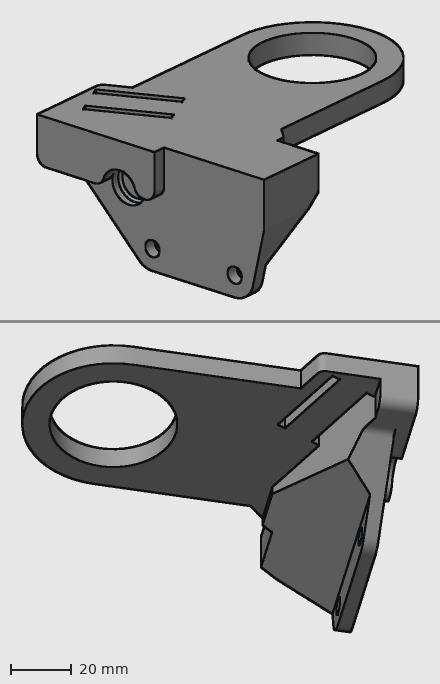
import cadquery as cq
import math

TOTAL_WIDTH = 92.52
TOTAL_LENGTH = 124.0
TOTAL_HEIGHT = 45.5

ARM_THICKNESS = 8.0
RING_RADIUS = 30.0
RING_BORE_DIAMETER = 42.0
RING_X = 40.0
RING_Y = TOTAL_LENGTH - RING_RADIUS
ARM_LEFT = RING_X - RING_RADIUS
ARM_RIGHT = RING_X + RING_RADIUS

SLOT_ANGLE = 25.0
SLOT_SLOPE = math.tan(math.radians(SLOT_ANGLE))
SLOT_LENGTH = 30.0
SLOT_WIDTH = 3.0
SLOT_SPACING = 14.0
REAR_SLOT_X = 16.0
REAR_SLOT_Y = 33.4
FRONT_SLOT_X = REAR_SLOT_X + SLOT_SPACING * math.sin(math.radians(SLOT_ANGLE))
FRONT_SLOT_Y = REAR_SLOT_Y - SLOT_SPACING * math.cos(math.radians(SLOT_ANGLE))

SHOULDER_CORNER_Y = 32.7
SHOULDER_RADIUS = 3.0

WING_REAR = 33.3
BODY_RIGHT = 75.0
BODY_REAR = 36.5
ARM_CORNER_Y = BODY_REAR + (BODY_RIGHT - ARM_RIGHT)

PAD_WIDTH = 50.0
PAD_HEIGHT = 18.0
PAD_DEPTH = 5.0
PAD_RADIUS = 4.0
PAD_REAR = 12.7

FLANGE_REAR = 10.0
FLANGE_CORNER_RADIUS = 8.0
HOLE_DIAMETER = 6.0
LEFT_HOLE_X = 45.0
RIGHT_HOLE_X = 80.0
HOLE_Z = FLANGE_CORNER_RADIUS - TOTAL_HEIGHT
FLANGE_INNER_RADIUS = 4.0
FLANGE_LEFT = LEFT_HOLE_X - FLANGE_CORNER_RADIUS * math.sqrt(2) + HOLE_Z + PAD_HEIGHT

SLOPE_REAR_Z = -11.0
SLOPE_FRONT_Z = -33.0

POCKET_X = 35.0
POCKET_Z = -17.5
POCKET_DIAMETER = 14.0
POCKET_DEPTH = 9.0
POCKET_FLOOR_CHAMFER = 1.0


def front_plane(y):
    """Sketch plane at depth y, drawn in X and Z, extruding towards +Y."""
    return cq.Workplane(cq.Plane(origin=(0, y, 0), xDir=(1, 0, 0), normal=(0, -1, 0)))


def slab(sketch, depth):
    """Extrude a front sketch the given depth towards +Y."""
    return sketch.extrude(-depth)


def slot_edge_x(y):
    """X of the front edge line of the front slot at the given Y."""
    half_width = SLOT_WIDTH / 2
    edge_drop = half_width / math.cos(math.radians(SLOT_ANGLE))
    return FRONT_SLOT_X + (y - FRONT_SLOT_Y + edge_drop) / SLOT_SLOPE


def make_arm():
    """Flat plate covering the whole part except the pad, rounded concentric with the ring bore."""
    outline = [
        (0, PAD_DEPTH),
        (TOTAL_WIDTH, PAD_DEPTH),
        (TOTAL_WIDTH, WING_REAR),
        (BODY_RIGHT, WING_REAR),
        (BODY_RIGHT, BODY_REAR),
        (ARM_RIGHT, ARM_CORNER_Y),
        (ARM_RIGHT, RING_Y),
    ]
    arm = (
        cq.Workplane("XY")
        .polyline(outline)
        .threePointArc((RING_X, TOTAL_LENGTH), (ARM_LEFT, RING_Y))
        .lineTo(ARM_LEFT, SHOULDER_CORNER_Y + ARM_LEFT * SLOT_SLOPE)
        .lineTo(0, SHOULDER_CORNER_Y)
        .close()
        .extrude(-ARM_THICKNESS)
    )
    shoulder = cq.selectors.NearestToPointSelector((0, SHOULDER_CORNER_Y, -ARM_THICKNESS / 2))
    return arm.edges("|Z").edges(shoulder).fillet(SHOULDER_RADIUS)


def make_pad():
    """Front pad with the edges where the pocket breaks out of its underside rounded."""
    pad = slab(front_plane(0).rect(PAD_WIDTH, -PAD_HEIGHT, centered=False), PAD_DEPTH)
    pad = pad.faces("<Z").edges("|Y").fillet(PAD_RADIUS)
    groove = slab(front_plane(0).center(POCKET_X, POCKET_Z).circle(POCKET_DIAMETER / 2), PAD_DEPTH)
    pad = pad.cut(groove)
    half_opening = math.sqrt((POCKET_DIAMETER / 2) ** 2 - (PAD_HEIGHT + POCKET_Z) ** 2)
    for side in (-1, 1):
        lip_x = POCKET_X + side * half_opening
        lip = cq.selectors.NearestToPointSelector((lip_x, PAD_DEPTH / 2, -PAD_HEIGHT))
        pad = pad.edges("|Y").edges(lip).fillet(PAD_RADIUS)
    return pad


def make_flange_sketch():
    """Front outline of the flange and the block beside it, with both lower corners rounded."""
    reach_x = TOTAL_WIDTH - RIGHT_HOLE_X
    reach_z = -PAD_HEIGHT - HOLE_Z
    reach = math.hypot(reach_x, reach_z)
    tangent_angle = math.atan2(reach_z, reach_x) - math.acos(FLANGE_CORNER_RADIUS / reach)
    right_tangent = (
        RIGHT_HOLE_X + FLANGE_CORNER_RADIUS * math.cos(tangent_angle),
        HOLE_Z + FLANGE_CORNER_RADIUS * math.sin(tangent_angle),
    )
    right_mid_angle = (tangent_angle - math.pi / 2) / 2
    right_mid = (
        RIGHT_HOLE_X + FLANGE_CORNER_RADIUS * math.cos(right_mid_angle),
        HOLE_Z + FLANGE_CORNER_RADIUS * math.sin(right_mid_angle),
    )
    diagonal = FLANGE_CORNER_RADIUS * math.sqrt(0.5)
    left_tangent = (LEFT_HOLE_X - diagonal, HOLE_Z - diagonal)
    left_mid_angle = math.radians(45) / 2
    left_mid = (
        LEFT_HOLE_X - FLANGE_CORNER_RADIUS * math.sin(left_mid_angle),
        HOLE_Z - FLANGE_CORNER_RADIUS * math.cos(left_mid_angle),
    )
    return (
        front_plane(PAD_DEPTH)
        .moveTo(0, 0)
        .lineTo(TOTAL_WIDTH, 0)
        .lineTo(TOTAL_WIDTH, -PAD_HEIGHT)
        .lineTo(*right_tangent)
        .threePointArc(right_mid, (RIGHT_HOLE_X, -TOTAL_HEIGHT))
        .lineTo(LEFT_HOLE_X, -TOTAL_HEIGHT)
        .threePointArc(left_mid, left_tangent)
        .lineTo(FLANGE_LEFT, -PAD_HEIGHT)
        .lineTo(0, -PAD_HEIGHT)
        .close()
    )


def make_body():
    """Flange and the wedge behind it, joined to the block behind the pad."""
    body = slab(make_flange_sketch(), BODY_REAR - PAD_DEPTH)
    inner_corner = cq.selectors.NearestToPointSelector((FLANGE_LEFT, BODY_REAR / 2, -PAD_HEIGHT))
    body = body.edges("|Y").edges(inner_corner).fillet(FLANGE_INNER_RADIUS)
    left_corner = cq.selectors.NearestToPointSelector((0, BODY_REAR / 2, -PAD_HEIGHT))
    body = body.edges("|Y").edges(left_corner).fillet(PAD_RADIUS)

    footprint = [
        (0, PAD_DEPTH),
        (TOTAL_WIDTH, PAD_DEPTH),
        (TOTAL_WIDTH, WING_REAR),
        (BODY_RIGHT, WING_REAR),
        (BODY_RIGHT, BODY_REAR),
        (slot_edge_x(BODY_REAR), BODY_REAR),
        (slot_edge_x(PAD_REAR), PAD_REAR),
        (0, PAD_REAR),
    ]
    side_profile = [
        (PAD_DEPTH, 0),
        (BODY_REAR, 0),
        (BODY_REAR, SLOPE_REAR_Z),
        (FLANGE_REAR, SLOPE_FRONT_Z),
        (FLANGE_REAR, -TOTAL_HEIGHT),
        (PAD_DEPTH, -TOTAL_HEIGHT),
    ]
    body = body.intersect(cq.Workplane("XY").polyline(footprint).close().extrude(-TOTAL_HEIGHT))
    return body.intersect(cq.Workplane("YZ").polyline(side_profile).close().extrude(TOTAL_WIDTH))


def make_slots():
    """Two parallel slanted slots through the arm."""
    centers = [(REAR_SLOT_X, REAR_SLOT_Y), (FRONT_SLOT_X, FRONT_SLOT_Y)]
    slots = cq.Workplane("XY")
    for x, y in centers:
        slot = cq.Workplane("XY").rect(SLOT_LENGTH, SLOT_WIDTH).extrude(-ARM_THICKNESS)
        slots = slots.union(slot.rotate((0, 0, 0), (0, 0, 1), SLOT_ANGLE).translate((x, y, 0)))
    return slots


def make_pocket():
    """Round blind pocket whose floor is ringed by a 45 degree chamfer."""
    pocket = slab(front_plane(0).center(POCKET_X, POCKET_Z).circle(POCKET_DIAMETER / 2), POCKET_DEPTH)
    return pocket.faces(">Y").chamfer(POCKET_FLOOR_CHAMFER)


def make_flange_holes():
    """Two through holes in the flange."""
    centers = [(LEFT_HOLE_X, HOLE_Z), (RIGHT_HOLE_X, HOLE_Z)]
    return slab(front_plane(0).pushPoints(centers).circle(HOLE_DIAMETER / 2), FLANGE_REAR)


def make_ring_bore():
    """Large bore at the rounded end of the arm."""
    return cq.Workplane("XY").center(RING_X, RING_Y).circle(RING_BORE_DIAMETER / 2).extrude(-ARM_THICKNESS)


result = make_arm().union(make_pad()).union(make_body())
result = result.cut(make_ring_bore()).cut(make_slots()).cut(make_pocket()).cut(make_flange_holes())